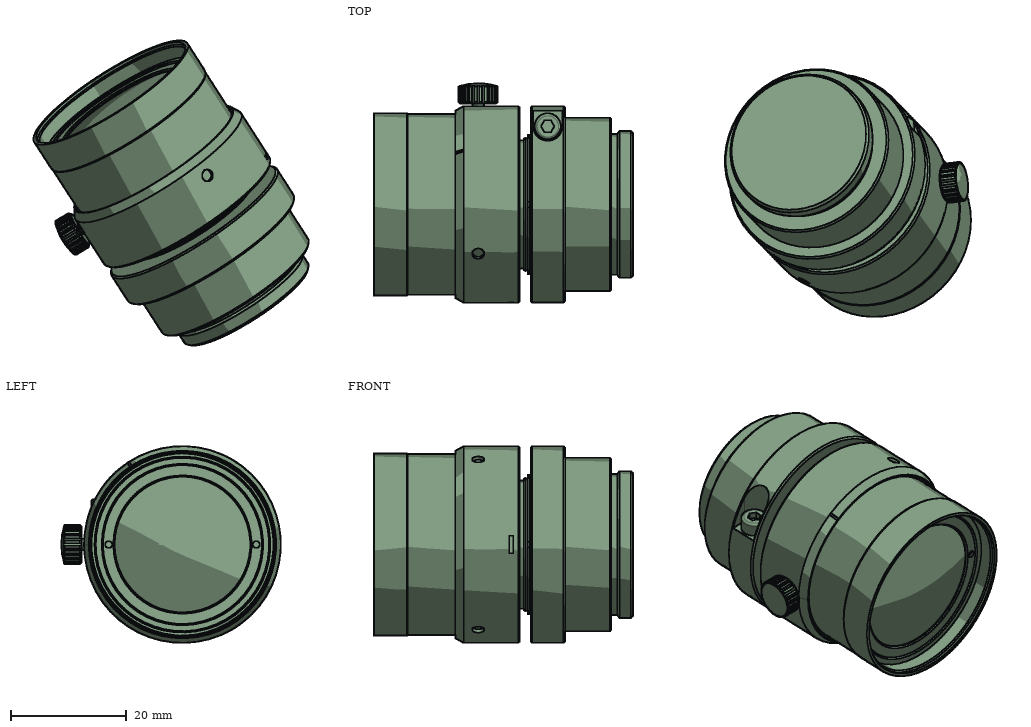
import cadquery as cq
import math


rim_radius = 15.75
rim_length = 5.65
rim_edge = 0.2
scale_radius = 31.3 / 2

rim_bore_radius = 15.2
rim_bore_depth = 0.5
recess_radius = 14.95
recess_depth = 3.0
ring_step_radius = 13.95
ring_step = 0.25
lens_bevel_radius = 11.95
lens_radius = 11.7
lens_inset = 0.15
lens_bulge = 1.5
spanner_hole_diameter = 1.2
spanner_hole_offset = 12.75
spanner_hole_depth = 0.5

grip_radius = 17.0
aperture_start = 14.05
aperture_end = 25.2
aperture_gap_radius = 16.0
aperture_gap_depth = 0.3
aperture_taper_length = 1.45
aperture_taper_height = 0.8
grip_chamfer = 0.3

neck_radius = 11.1
neck_end = 25.87
collar_start_radius = 11.35
collar_radius = 11.55
collar_relief_radius = 11.4
collar_taper_end = 26.2
flange_start = 26.55
flange_end = 26.87
flange_radius = 12.05
flange_notch_width = 0.95
flange_notch_count = 4

clamp_start = 27.05
clamp_end = 33.0
body_radius = 15.0
body_end = 41.0
body_chamfer = 0.3
relief_radius = 12.2
relief_end = 42.0
mount_radius = 25.4 / 2
mount_chamfer = 0.4
total_length = 44.74

ring_hole_x = 18.0
ring_hole_diameter = 2.05
ring_hole_depth = 0.7
ring_hole_angles = (120, 240)
index_slot_x = 23.7
index_slot_length = 3.0
index_slot_width = 0.7
index_slot_depth = 0.5
index_mark_angle = 33.4
index_mark_width = 0.4
index_mark_depth = 0.1

thumb_shank_diameter = 2.05
thumb_shank_overlap = 1.0
thumb_head_radius = 3.42
thumb_head_bottom = 17.35
thumb_head_rim = 20.3
thumb_head_top = 20.94
thumb_bottom_chamfer = 0.4
thumb_dome_radius = 3.2
thumb_dome_base = 20.45
knurl_count = 24
knurl_depth = 0.25
knurl_width = 0.4

clamp_hole_diameter = 4.5
clamp_hole_offset = 13.6
clamp_hole_angle = 37.5
clamp_hole_depth = 3.0

clamp_screw_x = 30.0
clamp_screw_y = 13.5
clamp_seat_z = 5.3
clamp_seat_diameter = 5.0
clamp_head_diameter = 4.5
clamp_head_height = 2.5
clamp_head_fillet = 0.4
clamp_hex_flats = 2.0
clamp_hex_depth = 1.2


def dome_midpoint(base, apex, edge_radius):
    """Axial and radial place of a point halfway along a dome's arc from its apex to its edge."""
    height = apex - base
    sphere_radius = (edge_radius**2 + height**2) / (2 * height)
    half_angle = math.asin(edge_radius / sphere_radius) / 2
    axial = apex - sphere_radius * (1 - math.cos(half_angle))
    return axial, sphere_radius * math.sin(half_angle)


def barrel():
    """Turned body, with the recessed lens as its front face."""
    floor = recess_depth + ring_step
    lens_bevel_end = floor + lens_bevel_radius - lens_radius
    lens_edge = lens_bevel_end + lens_inset
    lens_midpoint = dome_midpoint(lens_edge, lens_edge - lens_bulge, lens_radius)
    rim_bevel = rim_bore_radius - recess_radius
    profile = (
        cq.Workplane("XY")
        .moveTo(lens_edge - lens_bulge, 0)
        .threePointArc(lens_midpoint, (lens_edge, lens_radius))
        .lineTo(lens_bevel_end, lens_radius)
        .lineTo(floor, lens_bevel_radius)
        .lineTo(floor, ring_step_radius - ring_step)
        .lineTo(recess_depth, ring_step_radius)
        .lineTo(recess_depth, recess_radius)
        .lineTo(rim_bore_depth + rim_bevel, recess_radius)
        .lineTo(rim_bore_depth, rim_bore_radius)
        .lineTo(0, rim_bore_radius)
        .lineTo(0, rim_radius)
        .lineTo(rim_length, rim_radius)
        .lineTo(rim_length + rim_edge, scale_radius)
        .lineTo(aperture_start + aperture_gap_depth, scale_radius)
        .lineTo(aperture_start + aperture_gap_depth, aperture_gap_radius)
        .lineTo(aperture_start, aperture_gap_radius)
        .lineTo(aperture_start, grip_radius - aperture_taper_height)
        .lineTo(aperture_start + aperture_taper_length, grip_radius)
        .lineTo(aperture_end - grip_chamfer, grip_radius)
        .lineTo(aperture_end, grip_radius - grip_chamfer)
        .lineTo(aperture_end, neck_radius)
        .lineTo(neck_end, neck_radius)
        .lineTo(neck_end, collar_start_radius)
        .lineTo(collar_taper_end, collar_radius)
        .lineTo(collar_taper_end, collar_relief_radius)
        .lineTo(flange_start, collar_relief_radius)
        .lineTo(flange_start, flange_radius)
        .lineTo(flange_end, flange_radius)
        .lineTo(flange_end, collar_relief_radius)
        .lineTo(clamp_start, collar_relief_radius)
        .lineTo(clamp_start, grip_radius - grip_chamfer)
        .lineTo(clamp_start + grip_chamfer, grip_radius)
        .lineTo(clamp_end - grip_chamfer, grip_radius)
        .lineTo(clamp_end, grip_radius - grip_chamfer)
        .lineTo(clamp_end, body_radius)
        .lineTo(body_end - body_chamfer, body_radius)
        .lineTo(body_end, body_radius - body_chamfer)
        .lineTo(body_end, relief_radius)
        .lineTo(relief_end, relief_radius)
        .lineTo(relief_end + mount_chamfer, mount_radius)
        .lineTo(total_length - mount_chamfer, mount_radius)
        .lineTo(total_length, mount_radius - mount_chamfer)
        .lineTo(total_length, 0)
        .close()
    )
    return profile.revolve(360, (0, 0, 0), (1, 0, 0))


def spanner_holes():
    """Two blind holes in the retaining ring for a pin spanner."""
    return (
        cq.Workplane("YZ")
        .workplane(offset=recess_depth + ring_step)
        .pushPoints([(-spanner_hole_offset, 0), (spanner_hole_offset, 0)])
        .circle(spanner_hole_diameter / 2)
        .extrude(spanner_hole_depth)
    )


def ring_holes():
    """Blind radial holes that share the 120 degree spacing with the thumb screw."""
    hole = (
        cq.Workplane("XZ", origin=(ring_hole_x, grip_radius - ring_hole_depth, 0))
        .circle(ring_hole_diameter / 2)
        .extrude(-2 * ring_hole_depth)
    )
    holes = cq.Workplane("XY")
    for angle in ring_hole_angles:
        holes = holes.add(hole.rotate((0, 0, 0), (1, 0, 0), angle))
    return holes.combine()


def index_slot():
    """Small rectangular pocket near the rear edge of the aperture ring, on -Y."""
    return (
        cq.Workplane("XY")
        .box(index_slot_width, 2 * index_slot_depth, index_slot_length)
        .translate((index_slot_x, -grip_radius, 0))
    )


def index_mark():
    """Shallow straight mark across the front bevel of the aperture ring."""
    bevel_length = math.hypot(aperture_taper_length, aperture_taper_height)
    bevel_angle = math.degrees(math.atan2(aperture_taper_height, aperture_taper_length))
    middle_x = aperture_start + aperture_taper_length / 2
    middle_radius = grip_radius - aperture_taper_height / 2
    return (
        cq.Workplane("XY")
        .box(bevel_length, index_mark_width, 2 * index_mark_depth)
        .rotate((0, 0, 0), (0, 1, 0), -bevel_angle)
        .translate((middle_x, 0, middle_radius))
        .rotate((0, 0, 0), (1, 0, 0), -index_mark_angle)
    )


def flange_notches():
    """Axial notches that interrupt the flange in front of the clamp ring."""
    height = flange_radius - collar_relief_radius
    length = flange_end - flange_start
    notch = (
        cq.Workplane("XY")
        .box(length, flange_notch_width, 2 * height)
        .translate((flange_start + length / 2, 0, flange_radius))
    )
    notches = cq.Workplane("XY")
    for i in range(flange_notch_count):
        notches = notches.add(notch.rotate((0, 0, 0), (1, 0, 0), i * 360 / flange_notch_count))
    return notches.combine()


def thumb_screw():
    """Domed, knurled screw standing on the aperture ring; turned about its own Y axis."""
    shank_radius = thumb_shank_diameter / 2
    shank_root = grip_radius - thumb_shank_overlap
    mid_height, mid_radius = dome_midpoint(thumb_dome_base, thumb_head_top, thumb_dome_radius)
    screw = (
        cq.Workplane("XY")
        .moveTo(0, shank_root)
        .lineTo(shank_radius, shank_root)
        .lineTo(shank_radius, thumb_head_bottom)
        .lineTo(thumb_head_radius - thumb_bottom_chamfer, thumb_head_bottom)
        .lineTo(thumb_head_radius, thumb_head_bottom + thumb_bottom_chamfer)
        .lineTo(thumb_head_radius, thumb_head_rim)
        .lineTo(thumb_dome_radius, thumb_dome_base)
        .threePointArc((mid_radius, mid_height), (0, thumb_head_top))
        .close()
        .revolve(360, (0, 0, 0), (0, 1, 0))
    )
    grooves = (
        cq.Workplane("XZ", origin=(0, thumb_head_bottom, 0))
        .polarArray(thumb_head_radius, 0, 360, knurl_count)
        .rect(2 * knurl_depth, knurl_width)
        .extrude(thumb_head_bottom - thumb_head_top)
    )
    return screw.cut(grooves).translate((ring_hole_x, 0, 0))


def clamp_seat():
    """Flat screw seat milled into the clamp ring, open towards +Y."""
    run_out = grip_radius - clamp_screw_y
    seat = cq.Workplane("XY", origin=(clamp_screw_x, clamp_screw_y, clamp_seat_z))
    round_end = seat.circle(clamp_seat_diameter / 2).extrude(grip_radius)
    open_end = seat.center(0, run_out / 2).rect(clamp_seat_diameter, run_out).extrude(grip_radius)
    return round_end.union(open_end)


def clamp_hole():
    """Blind hole in the front face of the clamp ring, on the -Y side above the axis."""
    angle = math.radians(clamp_hole_angle)
    y = -clamp_hole_offset * math.cos(angle)
    z = clamp_hole_offset * math.sin(angle)
    return (
        cq.Workplane("YZ", origin=(clamp_start, y, z))
        .circle(clamp_hole_diameter / 2)
        .extrude(clamp_hole_depth)
    )


def clamp_screw():
    """Socket head cap screw resting on the clamp seat."""
    hex_corners = clamp_hex_flats / math.cos(math.pi / 6)
    return (
        cq.Workplane("XY", origin=(clamp_screw_x, clamp_screw_y, clamp_seat_z))
        .circle(clamp_head_diameter / 2)
        .extrude(clamp_head_height)
        .faces(">Z")
        .edges()
        .fillet(clamp_head_fillet)
        .faces(">Z")
        .workplane()
        .polygon(6, hex_corners)
        .cutBlind(-clamp_hex_depth)
    )


result = (
    barrel()
    .cut(spanner_holes())
    .cut(ring_holes())
    .cut(index_slot())
    .cut(index_mark())
    .cut(flange_notches())
    .cut(clamp_hole())
    .cut(clamp_seat())
    .union(clamp_screw())
    .union(thumb_screw())
)